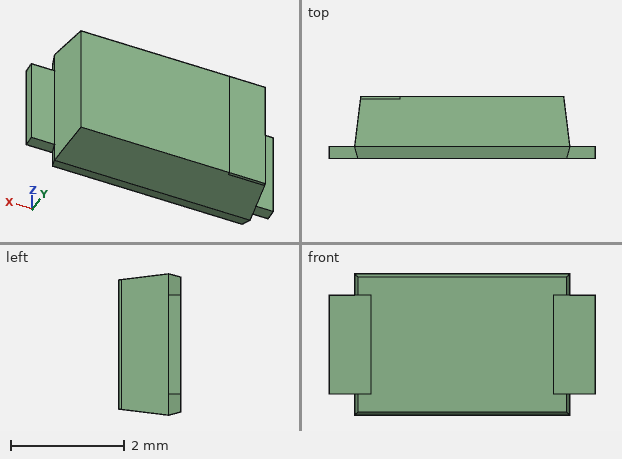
import cadquery as cq
import math

total_length = 4.7
total_depth = 1.1
body_height = 2.5

body_length = 3.8
back_draft = 7.0
front_draft = 15.0

terminal_length = 0.743
terminal_height = 1.75
terminal_thickness = 0.215

band_depth = 0.045
band_width = 0.695

parting_y = terminal_thickness
back_length = total_depth - parting_y
back_inset = back_length * math.tan(math.radians(back_draft))
back_face_min_x = back_inset - body_length / 2
band_end_x = back_face_min_x + band_width


def tapered_half(depth_direction, depth, draft):
    """Half of the moulded body, tapering away from the parting plane."""
    plane = cq.Plane(origin=(0, parting_y, 0), xDir=(1, 0, 0), normal=(0, depth_direction, 0))
    return cq.Workplane(plane).rect(body_length, body_height).extrude(depth, taper=draft)


def make_envelope():
    """Complete moulded shape, before the terminals and band are let in."""
    back = tapered_half(1, back_length, back_draft)
    front = tapered_half(-1, parting_y, front_draft)
    return back.union(front)


def make_terminal(side):
    """Flat terminal at the -X (side = -1) or +X (side = 1) end."""
    center_x = side * (total_length - terminal_length) / 2
    return (
        cq.Workplane("XY")
        .box(terminal_length, terminal_thickness, terminal_height)
        .translate((center_x, terminal_thickness / 2, 0))
    )


def make_band(envelope):
    """Thin band whose outer edges follow the tapered sides of the body."""
    slab_length = band_end_x + total_length / 2
    slab = (
        cq.Workplane("XY")
        .box(slab_length, band_depth, body_height)
        .translate((band_end_x - slab_length / 2, total_depth - band_depth / 2, 0))
    )
    return envelope.intersect(slab).solids()


def make_housing(envelope, inserts):
    """Moulded body with a matching recess for each inserted part."""
    housing = envelope
    for insert in inserts:
        housing = housing.cut(insert)
    return housing.solids()


envelope = make_envelope()
terminals = [make_terminal(side) for side in (-1, 1)]
band = make_band(envelope)
housing = make_housing(envelope, [*terminals, band])

result = cq.Compound.makeCompound(
    [housing.val(), band.val(), *[terminal.val() for terminal in terminals]]
)